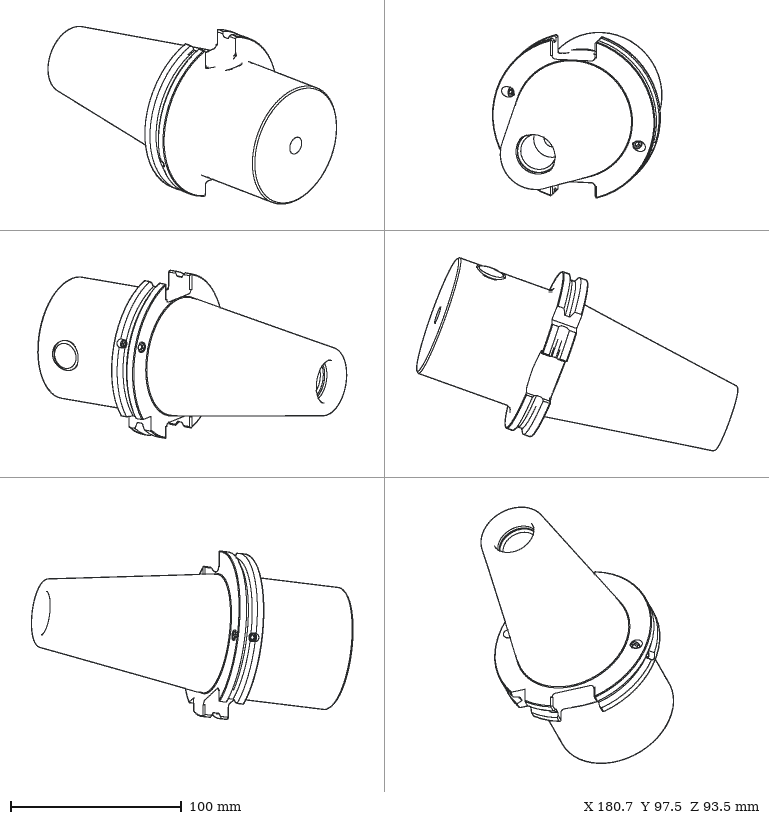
import cadquery as cq
import math


total_length = 180.7
taper_length = 101.75
nose_end = total_length - taper_length
flange_front = 3.2
flange_width = 15.5
flange_back = flange_front + flange_width

gauge_radius = 69.85 / 2
taper_slope = 7 / 24 / 2
small_end_radius = gauge_radius - taper_slope * taper_length
small_end_rounding = 2.0
spigot_root_chamfer = 0.5
flange_radius = 97.5 / 2
flange_edge_chamfer = 0.5
nose_radius = 72.0 / 2
nose_fillet = 4.2
nose_chamfer = 1.0

groove_center = 11.1
groove_floor_radius = 45.8
groove_half_width = 3.35
groove_flank_angle = 30.0
groove_floor_fillet = 0.8

bore_radius = 12.7
bore_mouth_rounding = 1.3
bore_depth = 9.8
thread_mouth_depth = 11.0
thread_cone_depth = 12.0
thread_start_depth = 13.0
thread_mouth_radius = 12.2
thread_radius = 10.6
thread_depth = 47.0
drill_tip_half_angle = 59.0
through_radius = 5.1

slot_half_width = 12.8
slot_run_out = 18.8
slot_floor_fillet = 2.0
slot_chamfer = 1.0
upper_slot_floor = 35.3
lower_slot_floor = 37.7
notch_side = 29.7

coolant_angle = 20.0
face_hole_radius_from_axis = 42.0
face_hole_tilt = 37.0
face_hole_diameter = 6.0
face_plug_recess = 2.6
radial_hole_x = 13.9
radial_hole_diameter = 5.0
radial_plug_recess = 3.5
plug_length = 5.0
plug_socket_depth = 2.0
socket_share = 0.5
socket_sides = 6
plug_chamfer = 0.5

side_screw_x = 59.0
side_screw_diameter = 18.0
side_screw_length = 18.0
side_screw_chamfer = 1.5

overcut = 5.0


def revolve_about_x(profile):
    return profile.close().revolve(360, (0, 0, 0), (1, 0, 0))


def holder_blank():
    """Taper, spigot, flange disc and nose as one turned solid."""
    edge = flange_edge_chamfer
    nose_start = flange_back + nose_fillet
    fillet_offset = nose_fillet * math.sqrt(0.5)
    profile = (
        cq.Workplane("XZ")
        .moveTo(-taper_length, 0)
        .lineTo(-taper_length, small_end_radius)
        .lineTo(0, gauge_radius)
        .lineTo(flange_front - spigot_root_chamfer, gauge_radius)
        .lineTo(flange_front, gauge_radius + spigot_root_chamfer)
        .lineTo(flange_front, flange_radius - edge)
        .lineTo(flange_front + edge, flange_radius)
        .lineTo(flange_back - edge, flange_radius)
        .lineTo(flange_back, flange_radius - edge)
        .lineTo(flange_back, nose_radius + nose_fillet)
        .threePointArc(
            (nose_start - fillet_offset, nose_radius + nose_fillet - fillet_offset),
            (nose_start, nose_radius),
        )
        .lineTo(nose_end - nose_chamfer, nose_radius)
        .lineTo(nose_end, nose_radius - nose_chamfer)
        .lineTo(nose_end, 0)
    )
    return revolve_about_x(profile).faces("<X").edges().fillet(small_end_rounding)


def bore_cutter():
    """Stepped bore from the small end, ending in a drill point and a through hole."""
    mouth = -taper_length
    rounding = bore_mouth_rounding
    rounding_rise = rounding * (1 - math.sqrt(0.5))
    thread_end = mouth + thread_depth
    tip_length = (thread_radius - through_radius) / math.tan(math.radians(drill_tip_half_angle))
    profile = (
        cq.Workplane("XZ")
        .moveTo(mouth, 0)
        .lineTo(mouth, bore_radius + rounding)
        .threePointArc(
            (mouth + rounding_rise, bore_radius + rounding_rise),
            (mouth + rounding, bore_radius),
        )
        .lineTo(mouth + bore_depth, bore_radius)
        .lineTo(mouth + thread_mouth_depth, thread_mouth_radius)
        .lineTo(mouth + thread_cone_depth, thread_mouth_radius)
        .lineTo(mouth + thread_start_depth, thread_radius)
        .lineTo(thread_end, thread_radius)
        .lineTo(thread_end + tip_length, through_radius)
        .lineTo(nose_end, through_radius)
        .lineTo(nose_end, 0)
    )
    return revolve_about_x(profile)


def groove_cutter():
    """Ring with V flanks and rounded floor corners."""
    flank_slope = math.tan(math.radians(groove_flank_angle))
    floor_half_width = groove_half_width - (flange_radius - groove_floor_radius) * flank_slope
    outer_radius = flange_radius + overcut
    outer_half_width = groove_half_width + overcut * flank_slope
    profile = (
        cq.Workplane("XZ")
        .moveTo(groove_center - floor_half_width, groove_floor_radius)
        .lineTo(groove_center + floor_half_width, groove_floor_radius)
        .lineTo(groove_center + outer_half_width, outer_radius)
        .lineTo(groove_center - outer_half_width, outer_radius)
    )
    floor_edges = cq.selectors.RadiusNthSelector(0)
    return revolve_about_x(profile).edges(floor_edges).fillet(groove_floor_fillet)


def slot_cutter(floor):
    """Upward drive slot with a round run-out and bevelled mouth edges."""
    top = flange_radius + overcut
    wide_half = slot_half_width + slot_chamfer
    straight = (
        cq.Workplane("XY", origin=(0, 0, floor))
        .moveTo(0, -slot_half_width)
        .lineTo(slot_run_out, -slot_half_width)
        .lineTo(slot_run_out, slot_half_width)
        .lineTo(0, slot_half_width)
        .close()
        .extrude(top - floor)
        .edges("|X and <Z")
        .fillet(slot_floor_fillet)
    )
    round_end = (
        cq.Workplane("XY", origin=(slot_run_out, 0, floor))
        .moveTo(0, -slot_half_width)
        .threePointArc((slot_half_width, 0), (0, slot_half_width))
        .close()
        .extrude(top - floor)
    )
    bevel_floor = floor + slot_floor_fillet
    face_bevel = (
        cq.Workplane("XY", origin=(flange_front, 0, bevel_floor))
        .moveTo(0, -wide_half)
        .lineTo(slot_chamfer, -slot_half_width)
        .lineTo(slot_chamfer, slot_half_width)
        .lineTo(0, wide_half)
        .close()
        .extrude(top - bevel_floor)
    )
    rim_height = math.sqrt(flange_radius**2 - wide_half**2)
    rise = top - rim_height
    rim_bevel = (
        cq.Workplane("YZ", origin=(flange_front, 0, rim_height))
        .moveTo(-slot_half_width, -slot_chamfer)
        .lineTo(slot_half_width, -slot_chamfer)
        .lineTo(wide_half + rise, rise)
        .lineTo(-wide_half - rise, rise)
        .close()
        .extrude(flange_width)
    )
    return straight.union(round_end).union(face_bevel).union(rim_bevel)


def notch_cutter():
    """Corner notch through the flange on the +Y, -Z side."""
    corner = (flange_front, notch_side, -notch_side - flange_radius)
    return cq.Workplane("XY", origin=corner).box(
        flange_width, flange_radius, flange_radius, centered=False
    )


def cylinder_along(start, direction, diameter, first, last):
    """Cylinder on the line from start, between two distances along direction."""
    plane = cq.Plane(origin=start, normal=direction)
    return cq.Workplane(plane).workplane(offset=first).circle(diameter / 2).extrude(last - first)


def plug(start, direction, diameter, recess):
    """Set screw with a hexagon socket facing outward, sunk below the start point."""
    body = cylinder_along(start, direction, diameter, recess, recess + plug_length)
    outer_end = cq.selectors.DirectionMinMaxSelector(cq.Vector(*direction), False)
    body = body.faces(outer_end).edges().chamfer(plug_chamfer)
    socket = (
        cq.Workplane(cq.Plane(origin=start, normal=direction))
        .workplane(offset=recess)
        .polygon(socket_sides, diameter * socket_share, circumscribed=True)
        .extrude(plug_socket_depth)
    )
    return body.cut(socket)


def plug_hole(start, direction, diameter, recess):
    return cylinder_along(start, direction, diameter, -overcut, recess + plug_length)


def coolant_lines():
    """Start point, inward direction, diameter and plug recess of every coolant hole."""
    tilt = math.radians(face_hole_tilt)
    lines = []
    for angle in (coolant_angle, coolant_angle + 180):
        out_y = math.cos(math.radians(angle))
        out_z = math.sin(math.radians(angle))
        face_start = (
            flange_front,
            face_hole_radius_from_axis * out_y,
            face_hole_radius_from_axis * out_z,
        )
        face_inward = (math.cos(tilt), -math.sin(tilt) * out_y, -math.sin(tilt) * out_z)
        lines.append((face_start, face_inward, face_hole_diameter, face_plug_recess))
        rim_start = (radial_hole_x, flange_radius * out_y, flange_radius * out_z)
        rim_inward = (0, -out_y, -out_z)
        lines.append((rim_start, rim_inward, radial_hole_diameter, radial_plug_recess))
    return lines


screw_start = (side_screw_x, nose_radius, 0)
screw_inward = (0, -1, 0)
side_screw = (
    cylinder_along(screw_start, screw_inward, side_screw_diameter, 0, side_screw_length)
    .faces(">Y")
    .edges()
    .chamfer(side_screw_chamfer)
)
side_screw_hole = cylinder_along(
    screw_start, screw_inward, side_screw_diameter, -overcut, side_screw_length
)

housing = (
    holder_blank()
    .cut(bore_cutter())
    .cut(groove_cutter())
    .cut(slot_cutter(upper_slot_floor))
    .cut(slot_cutter(lower_slot_floor).rotate((0, 0, 0), (1, 0, 0), 180))
    .cut(notch_cutter())
    .cut(side_screw_hole)
)
for line in coolant_lines():
    housing = housing.cut(plug_hole(*line))

plugs = [plug(*line).val() for line in coolant_lines()]

result = cq.Compound.makeCompound([housing.val(), side_screw.val(), *plugs])